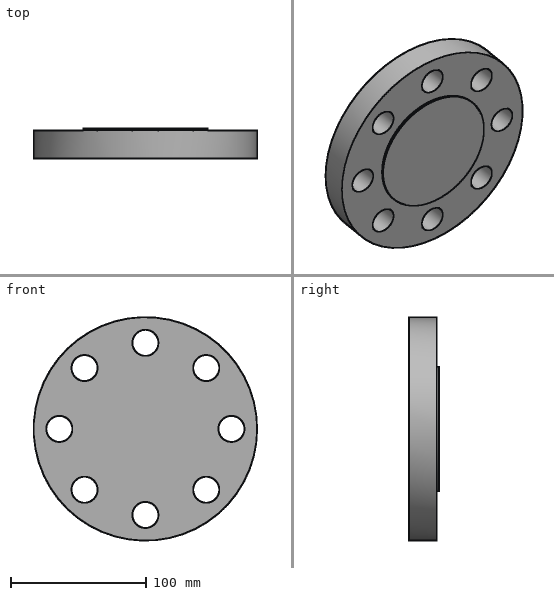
import cadquery as cq

flange_diameter = 165.1
total_thickness = 22.3
raised_face_diameter = 92.1
raised_face_height = 1.6
disc_thickness = total_thickness - raised_face_height

bolt_hole_count = 8
bolt_hole_diameter = 19.05
bolt_circle_diameter = 127.0


def disc_along_y(diameter, start_y, thickness):
    """Solid disc centred on the Y axis, growing from start_y toward +Y."""
    face_plane = cq.Workplane("XZ", origin=(0, start_y, 0))
    return face_plane.circle(diameter / 2).extrude(-thickness)


def bolt_holes():
    """Cylinders that cut the ring of through holes, one of them on the +X axis."""
    return (
        cq.Workplane("XZ")
        .polarArray(bolt_circle_diameter / 2, 0, 360, bolt_hole_count)
        .circle(bolt_hole_diameter / 2)
        .extrude(-disc_thickness)
    )


flange_disc = disc_along_y(flange_diameter, 0, disc_thickness)
raised_face = disc_along_y(raised_face_diameter, disc_thickness, raised_face_height)

result = flange_disc.union(raised_face).cut(bolt_holes())